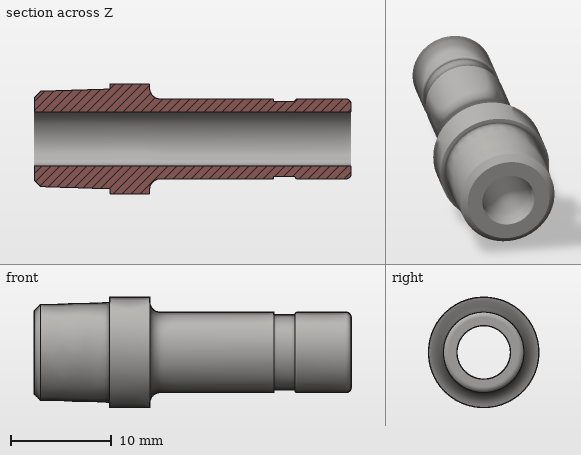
import cadquery as cq
import math


total_length = 31.5
gauge_plane = 3.95
collar_start = 7.5
collar_end = 11.5
groove_start = 23.8
groove_end = 25.9

bore_diameter = 5.3
gauge_diameter = 9.73
collar_diameter = 11.0
stem_diameter = 8.0
groove_diameter = 7.5

taper_ratio = 1 / 16
nose_chamfer = 0.63
collar_fillet = 1.0
stem_end_fillet = 0.55
groove_edge_fillet = 0.25

bore_radius = bore_diameter / 2
collar_radius = collar_diameter / 2
stem_radius = stem_diameter / 2
groove_radius = groove_diameter / 2
arc_middle = math.sqrt(0.5)


def taper_radius(x):
    """Radius of the tapered spigot at a place along the axis."""
    return (gauge_diameter + (x - gauge_plane) * taper_ratio) / 2


def round_edge_middle(x, radius, fillet, direction):
    """Middle of a quarter arc rounding an outer edge whose end wall, at x, faces the given direction."""
    inset = fillet * (1 - arc_middle)
    return (x - direction * inset, radius - inset)


def half_section():
    """Half section of the wall around the straight through bore, drawn as (axis position, radius)."""
    nose_radius = taper_radius(nose_chamfer)
    collar_arc_middle = (
        collar_end + collar_fillet * (1 - arc_middle),
        stem_radius + collar_fillet * (1 - arc_middle),
    )
    return (
        cq.Workplane("XY")
        .moveTo(0, bore_radius)
        .lineTo(0, nose_radius - nose_chamfer)
        .lineTo(nose_chamfer, nose_radius)
        .lineTo(gauge_plane, taper_radius(gauge_plane))
        .lineTo(collar_start, taper_radius(collar_start))
        .lineTo(collar_start, collar_radius)
        .lineTo(collar_end, collar_radius)
        .lineTo(collar_end, stem_radius + collar_fillet)
        .threePointArc(collar_arc_middle, (collar_end + collar_fillet, stem_radius))
        .lineTo(groove_start, stem_radius)
        .lineTo(groove_start, groove_radius)
        .lineTo(groove_end, groove_radius)
        .threePointArc(
            round_edge_middle(groove_end, stem_radius, groove_edge_fillet, -1),
            (groove_end + groove_edge_fillet, stem_radius),
        )
        .lineTo(total_length - stem_end_fillet, stem_radius)
        .threePointArc(
            round_edge_middle(total_length, stem_radius, stem_end_fillet, 1),
            (total_length, stem_radius - stem_end_fillet),
        )
        .lineTo(total_length, bore_radius)
        .close()
    )


result = half_section().revolve(360, (0, 0, 0), (1, 0, 0), clean=False)